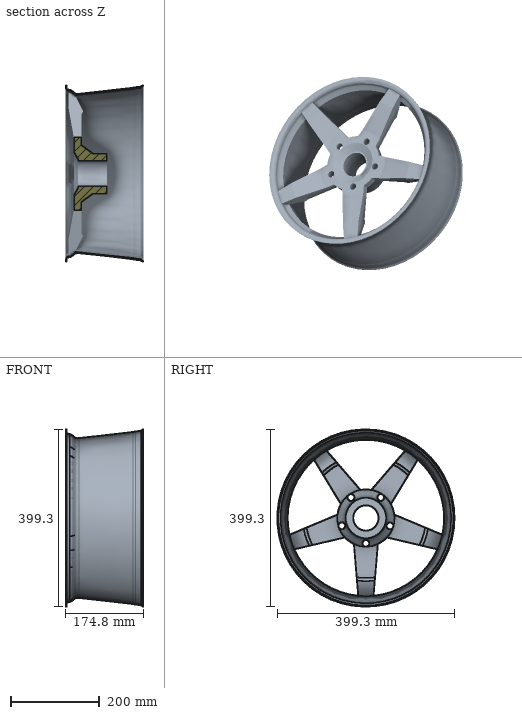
import cadquery as cq


wheel_width = 174.77
flange_r = 399.29 / 2
wall = 4.4

front_flange_thickness = 2.6
lip_rounding = 8.5
lip_bottom_r = 185.5
bead_seat_r = 190.7
bead_seat_end_x = 8.0
bead_seat_end_r = 189.4

land_width = 1.1
outer_shoulder_x = 16.0
outer_shoulder_r = 185.3
outer_drop_end_x = 20.0
outer_drop_end_r = 181.8
barrel_start_x = 29.0
barrel_start_r = 180.1
inner_shoulder_x = 14.0
inner_shoulder_r = 183.4
inner_drop_end_x = 22.9

barrel_end_x = 151.0
barrel_end_r = 193.8
rear_seat_x = 156.2
rear_seat_r = 195.0
rear_seat_end_x = 168.0
rear_seat_end_r = 196.4
rear_flange_start_x = 170.5
rear_flange_start_r = 197.0
rear_flange_edge = 1.3
rear_mouth_r = 197.4

hub_face_x = 18.5
hub_thickness = 17.0
hub_back_x = hub_face_x + hub_thickness
hub_r = 64.5
tube_r = 45.5
tube_start_x = 61.6
tube_end_x = 93.1
dish_r = 48.3
dish_bottom_r = 31.3
dish_depth = 9.5
bore_r = 28.2

spoke_count = 5
bolt_circle_r = 57.0
bolt_hole_diameter = 15.0

spoke_face_x = 6.5
spoke_rise_start_r = 80.6
spoke_rise_end_r = 150.3
spoke_root_r = 55.0
spoke_root_half_width = 27.5
spoke_tip_r = 190.0
spoke_tip_half_width = 16.2
back_step_r = 135.0
back_peak_r = 142.0
back_peak_x = 39.5
back_tip_r = 178.5
back_tip_x = 22.3
tip_overlap = 1.8


def revolve_about_axis(outline):
    """Turn a closed (x, r) outline into a solid of revolution about the X axis."""
    return outline.close().revolve(360, (0, 0, 0), (1, 0, 0))


def make_rim():
    outline = cq.Workplane("XY").moveTo(front_flange_thickness, flange_r)

    outline = (
        outline.lineTo(0, flange_r)
        .lineTo(0, lip_bottom_r + lip_rounding)
        .tangentArcPoint((lip_rounding, lip_bottom_r), relative=False)
        .lineTo(lip_rounding + land_width, lip_bottom_r)
        .tangentArcPoint((inner_shoulder_x, inner_shoulder_r), relative=False)
        .lineTo(inner_drop_end_x, barrel_start_r - wall)
        .lineTo(barrel_end_x, barrel_end_r - wall)
        .lineTo(rear_seat_x, rear_seat_r - wall)
        .lineTo(rear_seat_end_x, rear_seat_end_r - wall)
        .lineTo(wheel_width, rear_mouth_r)
    )

    outline = (
        outline.lineTo(wheel_width, flange_r)
        .lineTo(wheel_width - rear_flange_edge, flange_r)
        .lineTo(rear_flange_start_x, rear_flange_start_r)
        .lineTo(rear_seat_end_x, rear_seat_end_r)
        .lineTo(rear_seat_x, rear_seat_r)
        .lineTo(barrel_end_x, barrel_end_r)
        .lineTo(barrel_start_x, barrel_start_r)
        .tangentArcPoint((outer_drop_end_x, outer_drop_end_r), relative=False)
        .lineTo(outer_shoulder_x, outer_shoulder_r)
        .tangentArcPoint((bead_seat_end_x + land_width, bead_seat_end_r), relative=False)
        .lineTo(bead_seat_end_x, bead_seat_end_r)
        .lineTo(front_flange_thickness, bead_seat_r)
    )
    return revolve_about_axis(outline)


def make_hub():
    outline = (
        cq.Workplane("XY")
        .moveTo(hub_face_x, 0)
        .lineTo(hub_face_x, hub_r)
        .lineTo(hub_back_x, hub_r)
        .lineTo(tube_start_x, tube_r)
        .lineTo(tube_end_x, tube_r)
        .lineTo(tube_end_x, 0)
    )
    return revolve_about_axis(outline)


def make_spoke_envelope():
    """Ring whose radial section is the side shape shared by all spokes."""
    outline = (
        cq.Workplane("XY")
        .moveTo(hub_face_x, spoke_root_r)
        .lineTo(hub_face_x, spoke_rise_start_r)
        .lineTo(spoke_face_x, spoke_rise_end_r)
        .lineTo(spoke_face_x, lip_bottom_r + tip_overlap)
        .lineTo(inner_shoulder_x, inner_shoulder_r + tip_overlap)
        .lineTo(back_tip_x, back_tip_r)
        .lineTo(back_peak_x, back_peak_r)
        .lineTo(hub_back_x, back_step_r)
        .lineTo(hub_back_x, spoke_root_r)
    )
    return revolve_about_axis(outline)


def make_spoke_plan():
    """Tapered prism along X, pointing towards -Z."""
    return (
        cq.Workplane("YZ")
        .moveTo(-spoke_root_half_width, -spoke_root_r)
        .lineTo(spoke_root_half_width, -spoke_root_r)
        .lineTo(spoke_tip_half_width, -spoke_tip_r)
        .lineTo(-spoke_tip_half_width, -spoke_tip_r)
        .close()
        .extrude(wheel_width)
    )


def make_dish_and_bore():
    dish_bottom_x = hub_face_x + dish_depth
    outline = (
        cq.Workplane("XY")
        .moveTo(hub_face_x, 0)
        .lineTo(hub_face_x, dish_r)
        .lineTo(dish_bottom_x, dish_bottom_r)
        .lineTo(dish_bottom_x, bore_r)
        .lineTo(tube_end_x, bore_r)
        .lineTo(tube_end_x, 0)
    )
    return revolve_about_axis(outline)


def make_bolt_hole():
    return (
        cq.Workplane("YZ")
        .center(0, -bolt_circle_r)
        .circle(bolt_hole_diameter / 2)
        .extrude(wheel_width)
    )


spoke = make_spoke_envelope().intersect(make_spoke_plan())
hub = make_hub()
bolt_hole = make_bolt_hole()
wheel = make_rim().union(hub)
for index in range(spoke_count):
    angle = 360 / spoke_count * index
    wheel = wheel.union(spoke.rotate((0, 0, 0), (1, 0, 0), angle))
wheel = wheel.cut(make_dish_and_bore())
for index in range(spoke_count):
    angle = 360 / spoke_count * index
    wheel = wheel.cut(bolt_hole.rotate((0, 0, 0), (1, 0, 0), angle))

result = wheel